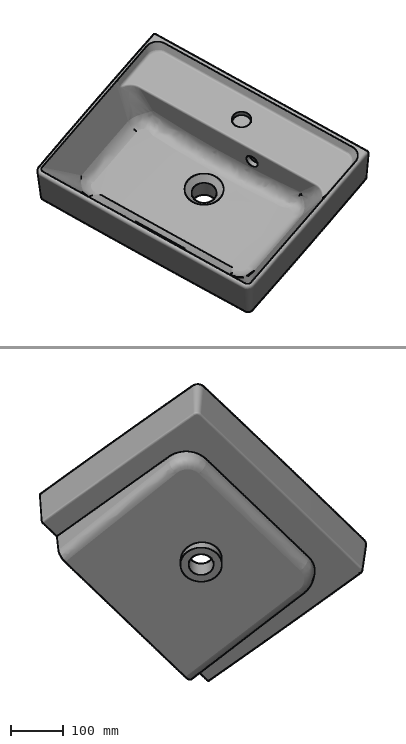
import cadquery as cq


width = 500.0
depth = 400.0
total_height = 151.0
body_height = 91.5
side_bulge = 1.0
side_draft = 5.5
front_draft = 7.5
rim_corner_radius = 15.0
base_corner_radius = 10.0
rim_radius = 6.0
body_bottom_radius = 4.0
rim_thickness = 8.5

deck_drop = 14.5
deck_side_draft = 8.0
deck_back_draft = 9.0
deck_corner_radius = 25.0
deck_fillet = 5.5
tap_hole_diameter = 37.0
tap_hole_y = -65.5
tap_hole_depth = 11.0

bowl_depth = 98.0
floor_bow = 22.0
bowl_taper_depth = 102.5
bowl_back_y = -112.0
bowl_base_back_y = -119.0
bowl_base_front_y = -327.5
bowl_base_half_width = 182.5
bowl_back_corner_radius = 25.0
bowl_front_corner_radius = 7.5
bowl_base_corner_radius = 45.0
bowl_floor_fillet = 30.0
bowl_lip_radius = 4.0

drain_y = -191.0
drain_diameter = 47.5
drain_sink_diameter = 74.5
drain_sink_depth = 11.5
drain_boss_diameter = 79.0
drain_boss_bottom = -148.0
overflow_diameter = 26.0
overflow_x = 58.5
overflow_z = -48.5
overflow_bottom_y = -105.0

belly_half_width = 200.0
belly_length = 332.5
belly_corner_radius = 50.0
belly_draft = 7.0
belly_front_z = -119.0
belly_fillet = 20.0
belly_overlap = 5.0

half_width = width / 2
bowl_front_y = rim_thickness - depth
bowl_half_width = half_width - rim_thickness
side_flare = side_draft * rim_radius / body_height
front_flare = front_draft * rim_radius / body_height


def bowed_outline(x_half, length, corner_radius, z):
    """Wire with a straight back edge and slightly bowed sides and front."""
    x_end = x_half - side_bulge
    y_end = side_bulge - length
    outline = (
        cq.Workplane("XY", origin=(0, 0, z))
        .moveTo(-x_end, 0)
        .lineTo(x_end, 0)
        .threePointArc((x_half, -length / 2), (x_end, y_end))
        .threePointArc((0, -length), (-x_end, y_end))
        .threePointArc((-x_half, -length / 2), (-x_end, 0))
        .close()
        .val()
    )
    front_corners = [corner for corner in outline.Vertices() if corner.Y < -length / 2]
    return outline.fillet2D(corner_radius, front_corners)


def rounded_outline(x_half, y_back, y_front, back_radius, front_radius, z):
    """Rectangular wire with its own corner radius at the back and at the front."""
    outline = cq.Workplane("XY").rect(2 * x_half, y_back - y_front).extrude(5)
    outline = outline.edges("|Z and >Y").fillet(back_radius)
    outline = outline.edges("|Z and <Y").fillet(front_radius)
    return outline.faces("<Z").wires().val().translate(cq.Vector(0, (y_back + y_front) / 2, z))


def ruled_solid(upper, lower):
    return cq.Workplane(cq.Solid.makeLoft([upper, lower], True))


def make_body():
    body = ruled_solid(
        bowed_outline(half_width + side_flare, depth + front_flare, rim_corner_radius, 0),
        bowed_outline(half_width - side_draft, depth - front_draft, base_corner_radius, -body_height),
    )
    body = body.faces(">Z").edges("not >Y").fillet(rim_radius)
    return body.faces("<Z").edges("not >Y").fillet(body_bottom_radius)


def make_belly():
    """Tapered block, mirrored about the wall face, trimmed to a wedge that thins to the front."""
    top = belly_overlap - body_height
    belly = ruled_solid(
        rounded_outline(belly_half_width, belly_length, -belly_length,
                        belly_corner_radius, belly_corner_radius, top),
        rounded_outline(belly_half_width - belly_draft, belly_length - belly_draft,
                        belly_draft - belly_length, belly_corner_radius, belly_corner_radius,
                        -total_height),
    )
    side_profile = (
        cq.Workplane("YZ")
        .polyline([(0, top), (0, -total_height), (-belly_length, belly_front_z), (-belly_length, top)])
        .close()
        .extrude(half_width, both=True)
    )
    belly = belly.intersect(side_profile)
    return belly.faces("<Z").edges("not >Y").fillet(belly_fillet)


def make_deck_recess():
    front_y = bowl_back_y - bowl_back_corner_radius
    recess = ruled_solid(
        rounded_outline(bowl_half_width, -rim_thickness, front_y,
                        deck_corner_radius, bowl_front_corner_radius, 0),
        rounded_outline(bowl_half_width - deck_side_draft, -rim_thickness - deck_back_draft, front_y,
                        deck_corner_radius, bowl_front_corner_radius, -deck_drop),
    )
    return recess.faces("<Z").edges("not <Y").fillet(deck_fillet)


def make_bowl():
    bowl = ruled_solid(
        rounded_outline(bowl_half_width, bowl_back_y, bowl_front_y,
                        bowl_back_corner_radius, bowl_front_corner_radius, 0),
        rounded_outline(bowl_base_half_width, bowl_base_back_y, bowl_base_front_y,
                        bowl_base_corner_radius, bowl_base_corner_radius, -bowl_taper_depth),
    )
    floor_profile = (
        cq.Workplane("XZ")
        .moveTo(-half_width, 0)
        .lineTo(-half_width, floor_bow - bowl_depth)
        .threePointArc((0, -bowl_depth), (half_width, floor_bow - bowl_depth))
        .lineTo(half_width, 0)
        .close()
        .extrude(depth)
    )
    bowl = bowl.intersect(floor_profile)
    return bowl.faces("<Z").edges().fillet(bowl_floor_fillet)


def upright_cylinder(diameter, y, top, height):
    return cq.Workplane("XY", origin=(0, y, top)).circle(diameter / 2).extrude(-height)


def make_drain_opening():
    hole = upright_cylinder(drain_diameter, drain_y, 0, total_height)
    sink = (
        cq.Workplane("XY", origin=(0, drain_y, -bowl_depth))
        .circle(drain_sink_diameter / 2)
        .workplane(offset=-drain_sink_depth)
        .circle(drain_diameter / 2)
        .loft()
    )
    mouth = upright_cylinder(drain_sink_diameter, drain_y, -deck_drop, bowl_depth - deck_drop)
    return hole.union(mouth).union(sink)


def make_overflow():
    return (
        cq.Workplane("XZ", origin=(overflow_x, overflow_bottom_y, overflow_z))
        .circle(overflow_diameter / 2)
        .extrude(overflow_bottom_y - drain_y)
    )


drain_boss = upright_cylinder(
    drain_boss_diameter, drain_y, -body_height, -body_height - drain_boss_bottom
)
basin = make_body().union(make_belly()).union(drain_boss)
basin = basin.cut(make_deck_recess()).cut(make_bowl())

lip_margin = 2.5
lip = cq.selectors.BoxSelector(
    (-bowl_half_width, bowl_back_y - lip_margin, -deck_drop - lip_margin),
    (bowl_half_width, bowl_back_y + lip_margin, lip_margin - deck_drop),
)
basin = basin.edges(lip).fillet(bowl_lip_radius)
basin = basin.cut(make_drain_opening()).cut(make_overflow())
result = basin.cut(upright_cylinder(tap_hole_diameter, tap_hole_y, 0, deck_drop + tap_hole_depth))